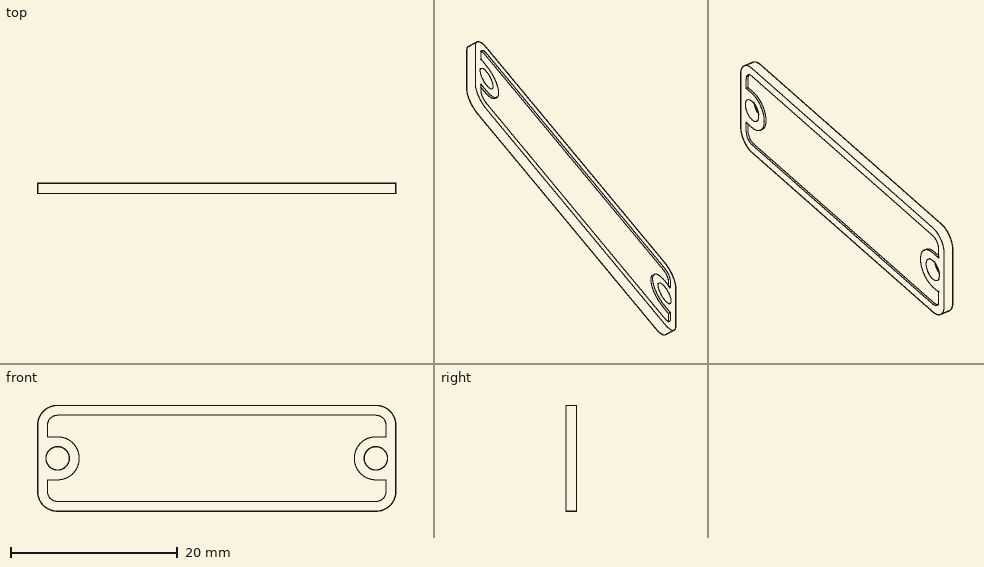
import cadquery as cq

length = 42.93
height = 12.7
thickness = 1.27
corner_radius = 2.38

hole_diameter = 2.78
hole_edge_distance = 2.41
hole_x = length / 2 - hole_edge_distance
land_radius = 2.58

rim_width = 1.19
recess_depth = 0.254
recess_corner_radius = corner_radius - rim_width


def rounded_slab(size_x, size_z, radius, depth):
    """Slab with rounded corners, from the front face at Y = 0 back to Y = depth."""
    return (
        cq.Workplane("XZ")
        .rect(size_x, size_z)
        .extrude(-depth)
        .edges("|Y")
        .fillet(radius)
    )


def hole_land(side):
    """Full-height pad from the plate end to a round nose about the hole; side is -1 or +1."""
    nose = cq.Workplane("XZ").center(side * hole_x, 0).circle(land_radius).extrude(-recess_depth)
    neck = (
        cq.Workplane("XZ")
        .center(side * (hole_x + hole_edge_distance / 2), 0)
        .rect(hole_edge_distance, 2 * land_radius)
        .extrude(-recess_depth)
    )
    return nose.union(neck)


def face_recess():
    """Volume removed from the front face, leaving the rim and the two hole lands."""
    recess = rounded_slab(
        length - 2 * rim_width,
        height - 2 * rim_width,
        recess_corner_radius,
        recess_depth,
    )
    for side in (-1, 1):
        recess = recess.cut(hole_land(side))
    return recess


def mounting_holes():
    """Pins that cut the two through holes."""
    return (
        cq.Workplane("XZ")
        .pushPoints([(-hole_x, 0), (hole_x, 0)])
        .circle(hole_diameter / 2)
        .extrude(-thickness)
    )


plate = rounded_slab(length, height, corner_radius, thickness)
result = plate.cut(face_recess()).cut(mounting_holes())